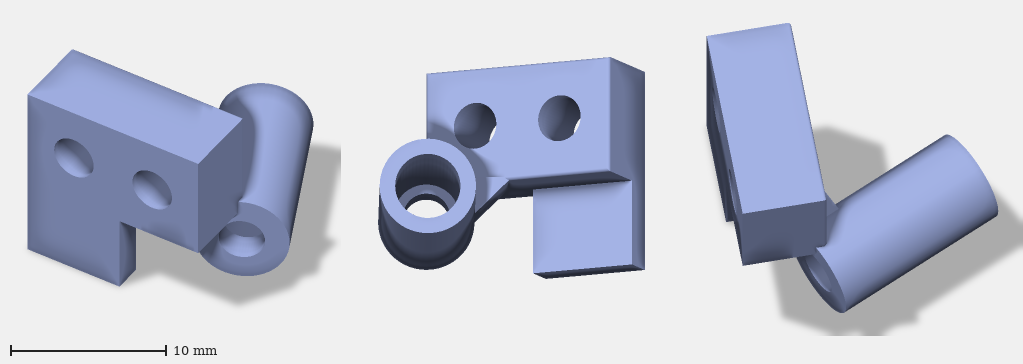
import cadquery as cq

block_size = 13.0
head_depth = 5.5
head_height = 7.5
leg_width = 7.0
leg_depth = 2.0
head_bottom = block_size - head_height

back_fillet = 0.2

hole_diameter = 3.0
first_hole_x = 3.54
hole_spacing = 5.96
hole_z = head_bottom + head_height / 2

tube_angle = 25.0
tube_diameter = 6.2
tube_radius = tube_diameter / 2
tube_length = 12.0
tube_x = 13.23
tube_y = 4.9
tube_z = 3.32
small_bore_diameter = 3.0
small_bore_length = 2.0
large_bore_diameter = 4.2

web_length = 3.0
web_overlap = 0.2
web_height = head_bottom + web_overlap - tube_z


def make_block():
    head = cq.Workplane("XY").box(block_size, head_depth, head_height, centered=False)
    head = head.faces(">Y").edges().fillet(back_fillet)
    head = head.translate((0, 0, head_bottom))
    leg = cq.Workplane("XY").box(leg_width, leg_depth, block_size, centered=False)
    holes = (
        cq.Workplane("XZ")
        .pushPoints([(first_hole_x, hole_z), (first_hole_x + hole_spacing, hole_z)])
        .circle(hole_diameter / 2)
        .extrude(-head_depth)
    )
    return head.union(leg).cut(holes)


def tube_plane(distance=0):
    """Workplane across the tube, at a distance behind its front end."""
    front = cq.Workplane("XZ", origin=(tube_x, tube_y, tube_z))
    return front.transformed(rotate=(0, tube_angle, 0)).workplane(offset=-distance)


def make_tube_and_web():
    tube = tube_plane().circle(tube_radius).extrude(-tube_length)
    web = (
        tube_plane()
        .polyline([
            (0, 0),
            (-tube_radius, 0),
            (-tube_radius - web_height, web_height),
            (0, web_height),
        ])
        .close()
        .extrude(-web_length)
    )
    return tube.union(web)


def make_bore():
    small = tube_plane().circle(small_bore_diameter / 2).extrude(-small_bore_length)
    large = (
        tube_plane(small_bore_length)
        .circle(large_bore_diameter / 2)
        .extrude(small_bore_length - tube_length)
    )
    return small.union(large)


result = make_block().union(make_tube_and_web()).cut(make_bore())